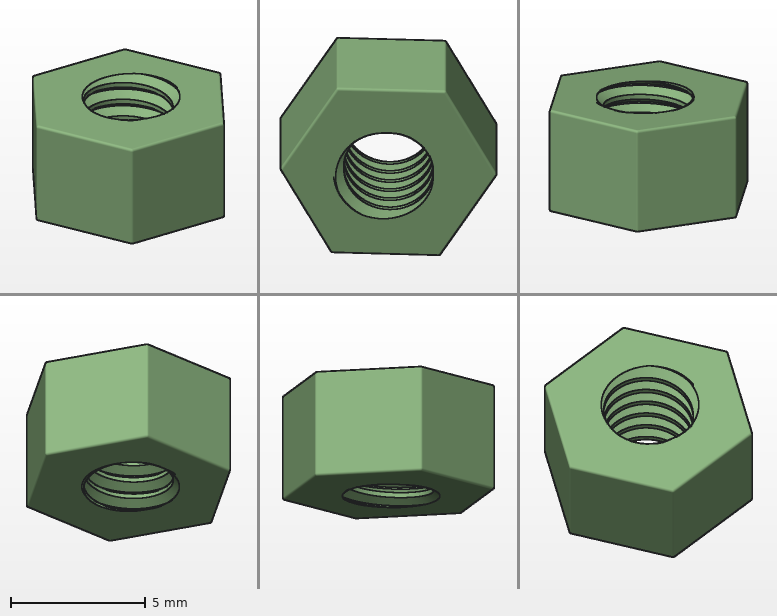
import cadquery as cq
import math

width_across_corners = 8.05
height = 4.0
edge_radius = 0.1
cos_half_corner = math.cos(math.radians(30))
sharp_width = width_across_corners + 2 * edge_radius * (1 / cos_half_corner - 1)

minor_diameter = 3.33
major_diameter = 4.105
pitch = 0.7
flank_angle = 30.0
root_width = 0.065
turns = math.ceil(height / pitch) + 2
overcut = 0.05


def make_body():
    """Hexagonal prism with every edge rounded."""
    body = cq.Workplane("XY").polygon(6, sharp_width).extrude(height / 2, both=True)
    return body.edges().fillet(edge_radius)


def make_thread_cutter():
    """Helical ridge whose root lies at +Y on the top face."""
    minor_radius = minor_diameter / 2
    major_radius = major_diameter / 2
    inner_radius = minor_radius - overcut
    root_half = root_width / 2
    mouth_half = root_half + (major_radius - inner_radius) * math.tan(math.radians(flank_angle))
    profile = [
        (inner_radius, -mouth_half),
        (major_radius, -root_half),
        (major_radius, root_half),
        (inner_radius, mouth_half),
    ]
    path = cq.Wire.makeHelix(pitch, turns * pitch, minor_radius)
    ridge = cq.Workplane("XZ").polyline(profile).close().sweep(cq.Workplane(path), isFrenet=True)
    start_height = height / 2 - (turns - 1) * pitch
    return ridge.rotate((0, 0, 0), (0, 0, 1), 90).translate((0, 0, start_height))


bore = cq.Workplane("XY").circle(minor_diameter / 2).extrude(height / 2, both=True)
result = make_body().cut(bore).cut(make_thread_cutter())